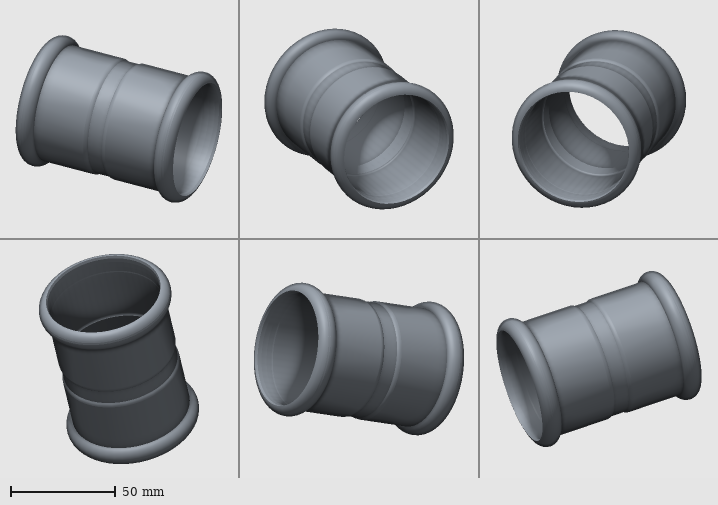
import cadquery as cq
import math

length = 83.0
half_length = length / 2
wall = 1.5

tube_outer_radius = 57.5 / 2
tube_inner_radius = tube_outer_radius - wall
waist_inner_radius = 53.0 / 2
waist_outer_radius = 55.95 / 2
shoulder_start = 35.7
outer_shoulder_end = 37.85
inner_shoulder_end = 36.9

bead_round = 5.0
bead_center_radius = 64.7 / 2 - bead_round
mouth_radius = 56.0 / 2
bead_center_x = math.sqrt(bead_round**2 - (mouth_radius - bead_center_radius) ** 2)
bead_flat_start = 3.3
bead_flat_end = 4.3

land_radius = 54.7 / 2
lead_in_end = 1.25
cone_start = 3.4
land_start = 6.3
taper_start = 9.05
taper_end = 9.8
lead_in_radius = 55.0 / 2
cone_start_radius = 54.8 / 2


def bead_end_x(radius):
    """Distance from the end to the waist side of the bead circle at a radius."""
    return bead_center_x + math.sqrt(bead_round**2 - (radius - bead_center_radius) ** 2)


def bead_radius(x):
    """Outer radius of the bead circle at a distance from the end."""
    return bead_center_radius + math.sqrt(bead_round**2 - (x - bead_center_x) ** 2)


def shoulder_middle(start_radius, end_radius, end_x):
    """Point on the shoulder arc, which leaves the tube tangentially."""
    run = end_x - shoulder_start
    drop = start_radius - end_radius
    arc_radius = (run**2 + drop**2) / (2 * drop)
    half_angle = math.asin(run / arc_radius) / 2
    x = shoulder_start + arc_radius * math.sin(half_angle)
    return x, start_radius - arc_radius * (1 - math.cos(half_angle))


def half_coupling():
    """Revolve the wall section from the -X end to the middle plane."""
    front_middle_x = bead_flat_start / 3
    section = (
        cq.Workplane("XY")
        .moveTo(0, mouth_radius)
        .threePointArc(
            (front_middle_x, bead_radius(front_middle_x)),
            (bead_flat_start, bead_radius(bead_flat_start)),
        )
        .lineTo(bead_flat_end, bead_radius(bead_flat_end))
        .threePointArc(
            (bead_center_x, bead_radius(bead_center_x)),
            (bead_end_x(tube_outer_radius), tube_outer_radius),
        )
        .lineTo(shoulder_start, tube_outer_radius)
        .threePointArc(
            shoulder_middle(tube_outer_radius, waist_outer_radius, outer_shoulder_end),
            (outer_shoulder_end, waist_outer_radius),
        )
        .lineTo(half_length, waist_outer_radius)
        .lineTo(half_length, waist_inner_radius)
        .lineTo(inner_shoulder_end, waist_inner_radius)
        .threePointArc(
            shoulder_middle(tube_inner_radius, waist_inner_radius, inner_shoulder_end),
            (shoulder_start, tube_inner_radius),
        )
        .lineTo(taper_end, tube_inner_radius)
        .lineTo(taper_start, land_radius)
        .lineTo(land_start, land_radius)
        .lineTo(cone_start, cone_start_radius)
        .lineTo(lead_in_end, lead_in_radius)
        .close()
    )
    solid = section.revolve(360, (0, 0, 0), (1, 0, 0))
    return solid.translate((-half_length, 0, 0))


left_half = half_coupling()
right_half = left_half.mirror("YZ")
result = left_half.union(right_half, clean=True)